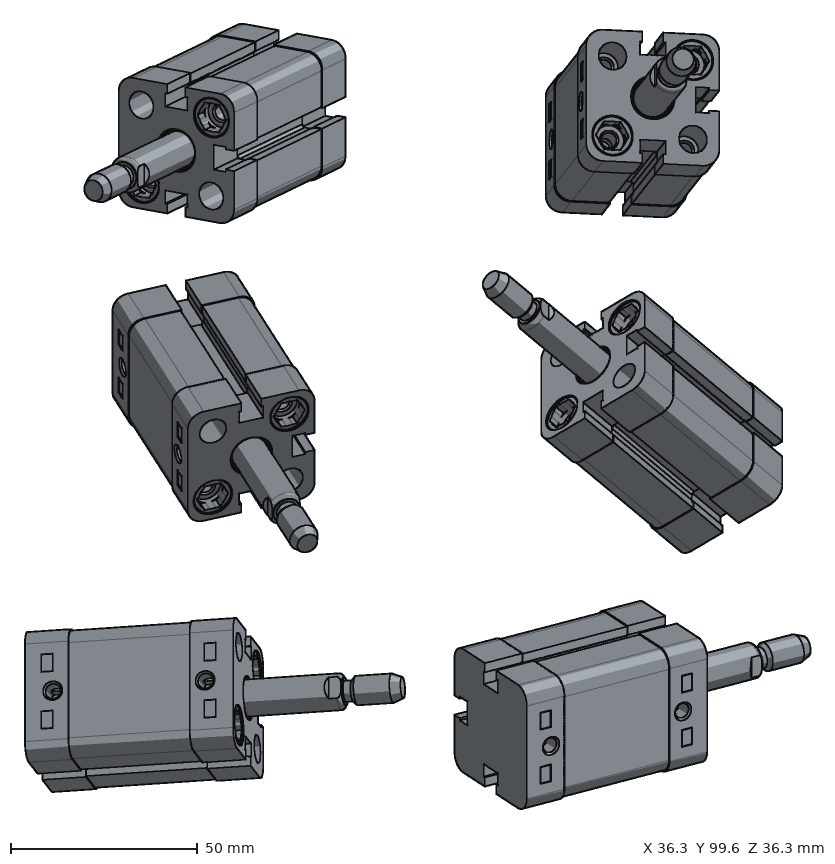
import cadquery as cq
import math


total_length = 99.6
body_length = 57.2
cap_length = 12.0
barrel_length = body_length - 2 * cap_length
rod_reach = total_length - body_length

cap_width = 36.3
barrel_inset = 0.3
barrel_width = cap_width - 2 * barrel_inset
corner_radius = 4.5

slot_floor_depth = 6.4
cap_slot_lip_depth = 2.7
barrel_slot_lip_depth = cap_slot_lip_depth + barrel_inset
barrel_slot_floor_chamfer = 0.8
slot_inner_width = 7.0
cap_slot_mouth = 5.7
barrel_slot_mouth = 6.2
slot_angles = (0, 90, 270)

corner_offset = 11.0
screw_places = [(corner_offset, corner_offset), (-corner_offset, -corner_offset)]
hole_places = [(-corner_offset, corner_offset), (corner_offset, -corner_offset)]
screw_seat_diameter = 11.1
screw_seat_depth = 0.7
screw_head_diameter = 10.9
screw_head_rim_diameter = 10.5
screw_head_sink = 0.3
hex_across_flats = 7.8
hex_corner_diameter = hex_across_flats / math.cos(math.pi / 6)
hex_depth = 3.4
socket_diameter = 8.0
socket_depth = 5.0
corner_hole_diameter = 7.6

thread_core_diameter = 4.2
thread_mouth_diameter = 5.3
screw_thread_mouth_diameter = 5.2
thread_depth = 10.0

port_face_distance = 7.7
port_depth = 5.0
port_slit_height = 2.7
port_core_diameter = 20.0

mark_length = 3.2
mark_height = 4.9
mark_depth = 0.3
mark_offset = 8.0
front_mark_distance = 6.4
rear_mark_distance = 6.1

seal_mouth_diameter = 12.0
seal_steps = [(11.4, 0.6), (10.9, 1.0), (10.5, 1.4)]

rod_diameter = 10.0
shoulder_distance = 26.4
shoulder_round = 1.2
collar_diameter = 7.5
collar_length = 0.3
neck_diameter = 5.8
neck_end_distance = 28.7
thread_diameter = 8.0
thread_start_distance = neck_end_distance + (thread_diameter - neck_diameter) / 2
tip_cone_length = 2.8
tip_diameter = 5.8
flat_width = 8.0
flat_length = 3.4


def cross_section(y):
    """Plane square to the axis: local x is X, local y is Z, extrusion runs to +Y with a negative length."""
    return cq.Workplane("XZ", origin=(0, y, 0))


def cylinder_along_y(diameter, y, length, x=0, z=0):
    """Cylinder that starts at y and runs toward +Y."""
    return cross_section(y).center(x, z).circle(diameter / 2).extrude(-length)


def cone_along_y(start_diameter, end_diameter, y, x=0, z=0):
    """45 degree cone that starts at y and narrows toward +Y."""
    depth = (start_diameter - end_diameter) / 2
    profile = [(0, 0), (start_diameter / 2, 0), (end_diameter / 2, depth), (0, depth)]
    return cq.Workplane("XY").polyline(profile).close().revolve(360, (0, 0), (0, 1)).translate((x, y, z))


def threaded_hole(mouth_diameter, y, x, z):
    bore = cylinder_along_y(thread_core_diameter, y, thread_depth, x, z)
    return bore.union(cone_along_y(mouth_diameter, thread_core_diameter, y, x, z))


def slotted_block(y, length, width, slot_mouth, slot_lip_depth, floor_chamfer=0):
    """Square block with rounded long edges and three T-slots."""
    block = cross_section(y).rect(width, width).extrude(-length).edges("|Y").fillet(corner_radius)
    outer = cap_width / 2
    floor = outer - slot_floor_depth
    lip = outer - slot_lip_depth
    mouth_cut = cq.Workplane("XY").box(slot_lip_depth, length, slot_mouth, centered=(False, False, True))
    inner_cut = cq.Workplane("XY").box(lip - floor, length, slot_inner_width, centered=(False, False, True))
    if floor_chamfer:
        inner_cut = inner_cut.faces("<X").edges("|Y").chamfer(floor_chamfer)
    slot = inner_cut.union(mouth_cut.translate((lip - floor, 0, 0))).translate((floor, y, 0))
    for angle in slot_angles:
        block = block.cut(slot.rotate((0, 0, 0), (0, 1, 0), angle))
    return block


def air_port(y):
    """Threaded port in the -X side, with a slit in its floor that reaches the round inner wall."""
    side = -cap_width / 2
    chamfer = (thread_mouth_diameter - thread_core_diameter) / 2
    profile = [
        (side, 0),
        (side, thread_mouth_diameter / 2),
        (side + chamfer, thread_core_diameter / 2),
        (side + port_depth, thread_core_diameter / 2),
        (side + port_depth, 0),
    ]
    port = cq.Workplane("XY").polyline(profile).close().revolve(360, (0, 0), (1, 0)).translate((0, y, 0))
    bore = cq.Workplane("YZ", origin=(side, y, 0)).circle(thread_core_diameter / 2).extrude(-side)
    slit = bore.intersect(cq.Workplane("XY").box(cap_width, body_length * 2, port_slit_height))
    inner_core = cylinder_along_y(port_core_diameter, y - cap_length / 2, cap_length)
    return port.union(slit.cut(inner_core))


def marking_recesses(y):
    recess = cq.Workplane("XY").box(mark_depth, mark_length, mark_height, centered=(False, True, True))
    upper = recess.translate((-cap_width / 2, y, mark_offset))
    lower = recess.translate((-cap_width / 2, y, -mark_offset))
    return upper.union(lower)


def screw_recess(x, z):
    """Groove around the sunk screw head, and its hexagon socket with a round bore below."""
    head_radius = screw_head_diameter / 2
    rim_radius = screw_head_rim_diameter / 2
    seat = cylinder_along_y(screw_seat_diameter, 0, screw_seat_depth, x, z)
    head_profile = [
        (0, screw_head_sink),
        (rim_radius, screw_head_sink),
        (head_radius, screw_head_sink + head_radius - rim_radius),
        (head_radius, screw_seat_depth),
        (0, screw_seat_depth),
    ]
    head = cq.Workplane("XY").polyline(head_profile).close().revolve(360, (0, 0), (0, 1)).translate((x, 0, z))
    hexagon = cross_section(0).center(x, z).polygon(6, hex_corner_diameter).extrude(-hex_depth)
    socket = cylinder_along_y(socket_diameter, 0, socket_depth, x, z)
    return seat.cut(head).union(hexagon).union(socket)


def seal_seat():
    first_diameter = seal_steps[0][0]
    seat = cone_along_y(seal_mouth_diameter, first_diameter, 0)
    for diameter, depth in seal_steps:
        seat = seat.union(cylinder_along_y(diameter, 0, depth))
    return seat


def make_front_cap():
    cap = slotted_block(0, cap_length, cap_width, cap_slot_mouth, cap_slot_lip_depth)
    cap = cap.cut(cylinder_along_y(rod_diameter, 0, cap_length)).cut(seal_seat())
    for x, z in screw_places:
        cap = cap.cut(screw_recess(x, z))
        cap = cap.cut(threaded_hole(screw_thread_mouth_diameter, socket_depth, x, z))
    for x, z in hole_places:
        cap = cap.cut(cylinder_along_y(corner_hole_diameter, 0, cap_length, x, z))
    return cap.cut(air_port(port_face_distance)).cut(marking_recesses(front_mark_distance))


def make_barrel():
    """The threaded holes continue the corner holes and the screw threads of the front cap."""
    barrel = slotted_block(
        cap_length,
        barrel_length,
        barrel_width,
        barrel_slot_mouth,
        barrel_slot_lip_depth,
        barrel_slot_floor_chamfer,
    )
    for x, z in hole_places:
        barrel = barrel.cut(threaded_hole(thread_mouth_diameter, cap_length, x, z))
    for x, z in screw_places:
        barrel = barrel.cut(threaded_hole(screw_thread_mouth_diameter, socket_depth, x, z))
    return barrel


def make_rear_cap():
    cap = slotted_block(body_length - cap_length, cap_length, cap_width, cap_slot_mouth, cap_slot_lip_depth)
    cap = cap.cut(air_port(body_length - port_face_distance))
    return cap.cut(marking_recesses(body_length - rear_mark_distance))


def make_rod():
    """Turned rod that ends at the rear face of the front cap, with two wrench flats."""
    rod_radius = rod_diameter / 2
    rod = (
        cq.Workplane("XY")
        .moveTo(0, cap_length)
        .lineTo(rod_radius, cap_length)
        .lineTo(rod_radius, -shoulder_distance + shoulder_round)
        .radiusArc((rod_radius - shoulder_round, -shoulder_distance), shoulder_round)
        .lineTo(collar_diameter / 2, -shoulder_distance)
        .lineTo(collar_diameter / 2, -shoulder_distance - collar_length)
        .lineTo(neck_diameter / 2, -shoulder_distance - collar_length)
        .lineTo(neck_diameter / 2, -neck_end_distance)
        .lineTo(thread_diameter / 2, -thread_start_distance)
        .lineTo(thread_diameter / 2, -rod_reach + tip_cone_length)
        .lineTo(tip_diameter / 2, -rod_reach)
        .lineTo(0, -rod_reach)
        .close()
        .revolve(360, (0, 0), (0, 1))
    )
    flat_start = -shoulder_distance + flat_length
    flat_profile = [
        (flat_width / 2, -shoulder_distance),
        (rod_radius, -shoulder_distance),
        (rod_radius, flat_start + rod_radius - flat_width / 2),
        (flat_width / 2, flat_start),
    ]
    flat_cut = cq.Workplane("XY").polyline(flat_profile).close().extrude(rod_radius, both=True)
    return rod.cut(flat_cut).cut(flat_cut.mirror("YZ"))


front_cap = make_front_cap()
barrel = make_barrel()
rear_cap = make_rear_cap()
rod = make_rod()

result = cq.Compound.makeCompound([front_cap.val(), barrel.val(), rear_cap.val(), rod.val()])